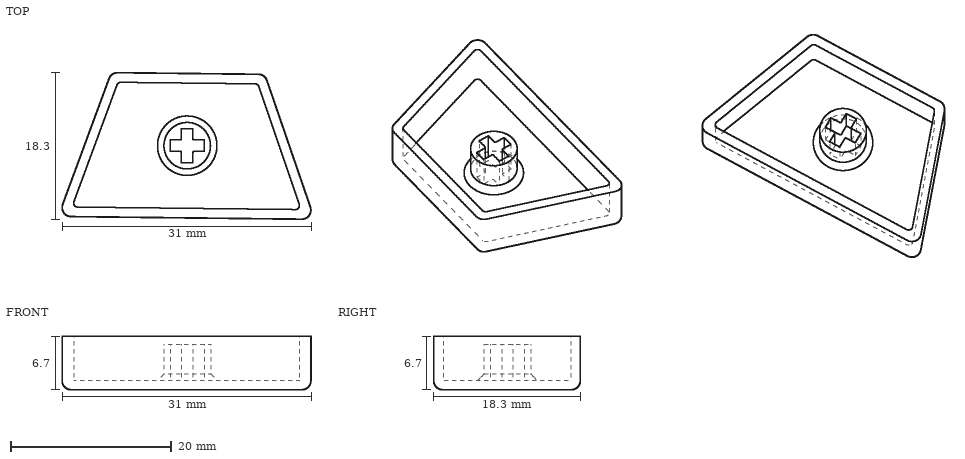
import cadquery as cq
import math

base_width = 32.0
depth = 18.03
side_slant = 19.6
turn = -0.65
height = 6.7
wall = 1.2
floor = wall
outer_radius = 1.15
bottom_radius = 1.12
inner_radius = 0.5

stem_diameter = 5.8
foot_flare = 0.8
stem_height = 4.5
cross_length = 4.25
cross_arm = 1.43
cross_radius = 0.12


def trapezoid(inset):
    """Sharp trapezoid with every side moved inward by inset."""
    slant = math.radians(side_slant)
    half_depth = depth / 2 - inset
    mid_half_width = (base_width - depth * math.tan(slant)) / 2 - inset / math.cos(slant)
    spread = half_depth * math.tan(slant)
    wide = mid_half_width + spread
    narrow = mid_half_width - spread
    corners = [(-wide, -half_depth), (wide, -half_depth), (narrow, half_depth), (-narrow, half_depth)]
    return cq.Workplane("XY").polyline(corners).close()


def tray():
    body = trapezoid(0).extrude(height)
    body = body.edges("|Z").fillet(outer_radius)
    body = body.faces("<Z").edges().fillet(bottom_radius)
    cavity = trapezoid(wall).extrude(height - floor)
    cavity = cavity.edges("|Z").fillet(inner_radius)
    body = body.cut(cavity.translate((0, 0, floor)))
    return body.rotate((0, 0, 0), (0, 0, 1), turn)


def stem():
    radius = stem_diameter / 2
    profile = [
        (0, 0),
        (radius + foot_flare, 0),
        (radius, foot_flare),
        (radius, stem_height),
        (0, stem_height),
    ]
    post = cq.Workplane("XZ").polyline(profile).close().revolve(360, (0, 0), (0, 1))
    return post.translate((0, 0, floor))


def cross_socket():
    """Cross that runs from the stem top down to the tray floor."""
    arm_x = cq.Workplane("XY").rect(cross_length, cross_arm).extrude(stem_height)
    arm_y = cq.Workplane("XY").rect(cross_arm, cross_length).extrude(stem_height)
    inner_corners = cq.selectors.BoxSelector(
        (-cross_arm, -cross_arm, 0), (cross_arm, cross_arm, stem_height)
    )
    cross = arm_x.union(arm_y).edges("|Z").edges(inner_corners).fillet(cross_radius)
    return cross.translate((0, 0, floor))


result = tray().union(stem()).cut(cross_socket())